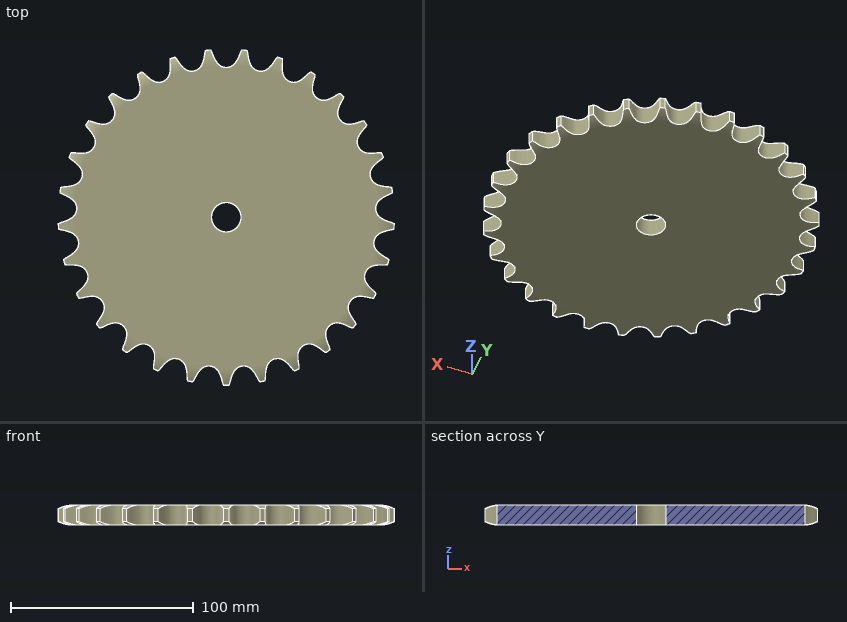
import cadquery as cq
import math

chain_pitch = 19.05
roller_diameter = 12.07
tooth_count = 29
tip_radius = 92.05
thickness = 11.1
bore_diameter = 16.0

relief_radius = 19.0
relief_depth = 2.0

cut_margin = 1.0

pitch_angle = 360.0 / tooth_count
pitch_radius = chain_pitch / 2 / math.sin(math.radians(pitch_angle / 2))

seat_radius = 0.505 * roller_diameter
seat_end_angle = math.radians(35 + 60 / tooth_count)
flank_sweep = math.radians(18 - 56 / tooth_count)
flank_end_angle = seat_end_angle - flank_sweep
tip_form_angle = math.radians(17 - 64 / tooth_count)
flank_radius = 1.3025 * roller_diameter
straight_length = roller_diameter * (1.4 * math.sin(tip_form_angle) - 0.8 * math.sin(flank_sweep))
tip_flank_radius = (
    roller_diameter * (0.8 * math.cos(flank_sweep) + 1.4 * math.cos(tip_form_angle)) - flank_radius
)


def step(point, distance, angle):
    """Point reached from another one by going a distance at an angle (radians) from +X."""
    return point[0] + distance * math.cos(angle), point[1] + distance * math.sin(angle)


def mirrored(point):
    """Point reflected across the Y axis."""
    return -point[0], point[1]


def make_blank():
    """Disc with a bore, its rim narrowed by arcs tangent to both faces."""
    half = thickness / 2
    relief_angle = math.acos(1 - relief_depth / relief_radius)
    face_radius = tip_radius - relief_radius * math.sin(relief_angle)
    tip_half = half - relief_depth
    mid_radius = face_radius + relief_radius * math.sin(relief_angle / 2)
    mid_half = half - relief_radius * (1 - math.cos(relief_angle / 2))
    return (
        cq.Workplane("XZ")
        .moveTo(bore_diameter / 2, -half)
        .lineTo(face_radius, -half)
        .threePointArc((mid_radius, -mid_half), (tip_radius, -tip_half))
        .lineTo(tip_radius, tip_half)
        .threePointArc((mid_radius, mid_half), (face_radius, half))
        .lineTo(bore_diameter / 2, half)
        .close()
        .revolve(360, (0, 0, 0), (0, 1, 0))
    )


def make_tooth_space():
    """Cutter for the gap between two teeth, centred on +Y."""
    seat_center = (0, pitch_radius)
    seat_bottom = (0, pitch_radius - seat_radius)
    seat_end = step(seat_center, seat_radius, -seat_end_angle)

    flank_center = step(seat_end, -flank_radius, -seat_end_angle)
    flank_mid = step(flank_center, flank_radius, -(seat_end_angle + flank_end_angle) / 2)
    flank_end = step(flank_center, flank_radius, -flank_end_angle)

    straight_end = step(flank_end, straight_length, math.pi / 2 - flank_end_angle)

    cutter_top = tip_radius + cut_margin
    tip_center = step(straight_end, tip_flank_radius, -flank_end_angle)
    tip_start_angle = math.pi - flank_end_angle
    tip_end_angle = math.pi - math.asin((cutter_top - tip_center[1]) / tip_flank_radius)
    tip_mid = step(tip_center, tip_flank_radius, (tip_start_angle + tip_end_angle) / 2)
    tip_end = step(tip_center, tip_flank_radius, tip_end_angle)

    return (
        cq.Workplane("XY")
        .workplane(offset=-thickness / 2 - cut_margin)
        .moveTo(*mirrored(seat_end))
        .threePointArc(seat_bottom, seat_end)
        .threePointArc(flank_mid, flank_end)
        .lineTo(*straight_end)
        .threePointArc(tip_mid, tip_end)
        .lineTo(*mirrored(tip_end))
        .threePointArc(mirrored(tip_mid), mirrored(straight_end))
        .lineTo(*mirrored(flank_end))
        .threePointArc(mirrored(flank_mid), mirrored(seat_end))
        .close()
        .extrude(thickness + 2 * cut_margin)
    )


result = make_blank()
tooth_space = make_tooth_space()
for i in range(tooth_count):
    result = result.cut(tooth_space.rotate((0, 0, 0), (0, 0, 1), i * pitch_angle))